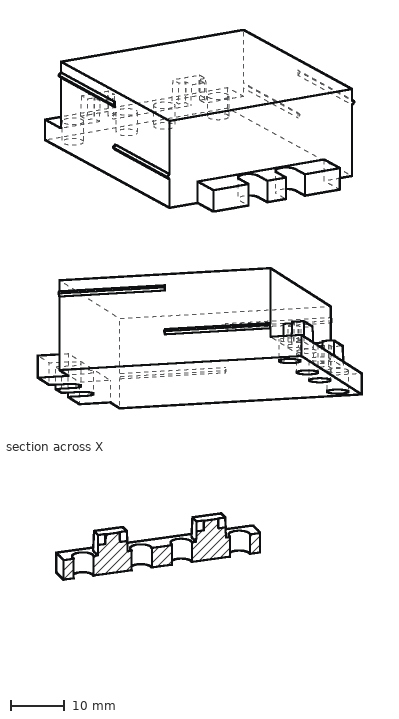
import cadquery as cq

total_length = 53.0
flange_length = 6.0
body_length = total_length - 2 * flange_length
body_width = 39.0
body_height = 17.0
body_end_x = flange_length + body_length
body_mid_x = flange_length + body_length / 2

flange_height = 4.0
hole_diameter = 4.0
hole_x = 3.5
inner_hole_y = 4.0
outer_hole_y = 15.5

tongue_height = 4.2
tongue_width = 27.0
slot_width = 4.0
slot_centre_x = total_length - hole_x
slot_y = inner_hole_y

lug_height = 4.0
lug_start_x = 1.5
lug_head_length = 2.5
lug_head_width = 6.0
lug_stem_width = 3.0
lug_y = 9.75
lug_draft_angle = 2.0

ridge_projection = 0.5
ridge_half_height = 0.5
upper_ridge_z = 14.4
lower_ridge_z = 6.1


def box(start_x, length, width, height):
    """Block standing on Z = 0 and centred on Y = 0."""
    block = cq.Workplane("XY").box(length, width, height, centered=(False, True, False))
    return block.translate((start_x, 0, 0))


def make_flange():
    """Left flange pierced by its row of round holes."""
    hole_centres = [(hole_x, side * y) for side in (-1, 1) for y in (inner_hole_y, outer_hole_y)]
    holes = cq.Workplane("XY").pushPoints(hole_centres).circle(hole_diameter / 2).extrude(flange_height)
    return box(0, flange_length, body_width, flange_height).cut(holes)


def make_tongue():
    """Right tongue with round-ended slots open towards +X."""
    tongue = box(body_end_x, flange_length, tongue_width, tongue_height)
    slot_end = cq.Workplane("XY").circle(slot_width / 2).extrude(tongue_height)
    slot_end = slot_end.translate((slot_centre_x, 0, 0))
    slot = slot_end.union(box(slot_centre_x, total_length - slot_centre_x, slot_width, tongue_height))
    for side in (-1, 1):
        tongue = tongue.cut(slot.translate((0, side * slot_y, 0)))
    return tongue


def make_lug(centre_y):
    """Drafted T-shaped lug whose stem runs into the body."""
    head_end_x = lug_start_x + lug_head_length
    stem_end_x = flange_length + lug_head_length
    half_head = lug_head_width / 2
    half_stem = lug_stem_width / 2
    outline = [
        (lug_start_x, -half_head),
        (head_end_x, -half_head),
        (head_end_x, -half_stem),
        (stem_end_x, -half_stem),
        (stem_end_x, half_stem),
        (head_end_x, half_stem),
        (head_end_x, half_head),
        (lug_start_x, half_head),
    ]
    lug = cq.Workplane("XY").polyline(outline).close().extrude(lug_height, taper=lug_draft_angle)
    return lug.translate((0, centre_y, flange_height))


def make_ridge(side, start_x, centre_z):
    """Half-length V ridge on the -Y (side = -1) or +Y (side = 1) wall."""
    wall_y = side * body_width / 2
    profile = [
        (wall_y, centre_z - ridge_half_height),
        (wall_y + side * ridge_projection, centre_z),
        (wall_y, centre_z + ridge_half_height),
    ]
    ridge = cq.Workplane("YZ").polyline(profile).close().extrude(body_length / 2)
    return ridge.translate((start_x, 0, 0))


part = box(flange_length, body_length, body_width, body_height)
part = part.union(make_flange()).union(make_tongue())

for side in (-1, 1):
    part = part.union(make_lug(side * lug_y))

part = part.union(make_ridge(-1, flange_length, upper_ridge_z))
part = part.union(make_ridge(-1, body_mid_x, lower_ridge_z))
part = part.union(make_ridge(1, flange_length, lower_ridge_z))
part = part.union(make_ridge(1, body_mid_x, upper_ridge_z))

result = part